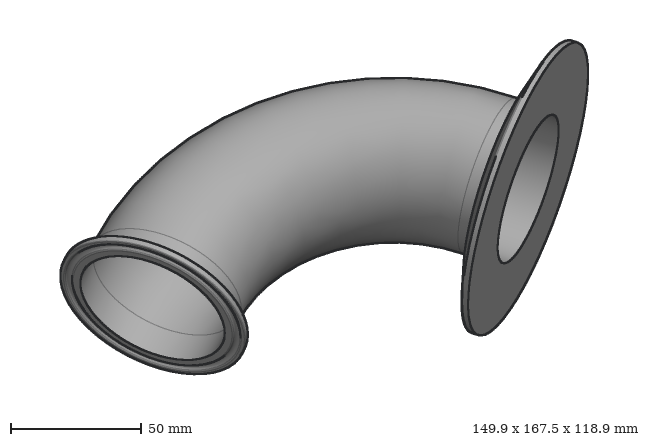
import cadquery as cq
import math

tube_diameter = 63.5
bore_diameter = 60.3
bend_radius = 95.3

small_flange_diameter = 77.3
small_ferrule_length = 12.7

large_flange_diameter = 118.9
large_ferrule_length = 15.9
large_flange_thickness = 7.9

rim_width = 2.8
clamp_angle = math.radians(20)
neck_fillet = 1.3
rim_fillet = 0.5
face_edge_fillet = 0.3

groove_diameter = 70.3
groove_radius = 1.42
groove_lip_radius = 0.7

tube_radius = tube_diameter / 2
bore_radius = bore_diameter / 2
small_flange_radius = small_flange_diameter / 2
large_flange_radius = large_flange_diameter / 2

bend_start_y = small_ferrule_length
large_axis_y = bend_start_y + bend_radius
large_face_x = bend_radius + large_ferrule_length


def circle_edge(radius, height):
    """Selector for circular edges around Z at this height, up to this radius."""
    reach = 0.02
    return cq.selectors.BoxSelector(
        (-radius - reach, -radius - reach, height - reach),
        (radius + reach, radius + reach, height + reach),
        boundingbox=True,
    )


def turned(points):
    """Solid of revolution about Z from (radius, height) points."""
    return cq.Workplane("XZ").polyline(points).close().revolve(360, (0, 0), (0, 1))


def small_ferrule():
    """Ferrule blank with its sealing face on Z = 0 and its neck rising along +Z."""
    cone_top = rim_width + (small_flange_radius - tube_radius) * math.tan(clamp_angle)
    blank = turned([
        (0, 0),
        (small_flange_radius, 0),
        (small_flange_radius, rim_width),
        (tube_radius, cone_top),
        (tube_radius, small_ferrule_length),
        (0, small_ferrule_length),
    ])
    blank = blank.edges(circle_edge(tube_radius, cone_top)).fillet(neck_fillet)
    blank = blank.edges(circle_edge(small_flange_radius, rim_width)).fillet(rim_fillet)
    blank = blank.edges(circle_edge(small_flange_radius, 0)).fillet(face_edge_fillet)
    return blank.cut(gasket_groove())


def gasket_groove():
    """Ring with a round bottom and rounded lips, sunk into the face on Z = 0."""
    middle = groove_diameter / 2
    lip_center_offset = math.sqrt((groove_radius + groove_lip_radius) ** 2 - groove_lip_radius**2)
    tangent_share = groove_radius / (groove_radius + groove_lip_radius)
    tangent_offset = lip_center_offset * tangent_share
    tangent_depth = groove_lip_radius * tangent_share
    lip_half_angle = math.asin(lip_center_offset / (groove_radius + groove_lip_radius)) / 2
    lip_middle_offset = lip_center_offset - groove_lip_radius * math.sin(lip_half_angle)
    lip_middle_depth = groove_lip_radius * (1 - math.cos(lip_half_angle))
    return (
        cq.Workplane("XZ")
        .moveTo(middle - lip_center_offset, 0)
        .threePointArc((middle - lip_middle_offset, lip_middle_depth), (middle - tangent_offset, tangent_depth))
        .threePointArc((middle, groove_radius), (middle + tangent_offset, tangent_depth))
        .threePointArc((middle + lip_middle_offset, lip_middle_depth), (middle + lip_center_offset, 0))
        .close()
        .revolve(360, (0, 0), (0, 1))
    )


def large_ferrule():
    """Ferrule blank with its face on Z = 0 and its neck rising along +Z."""
    cone_run = (large_flange_thickness - rim_width) / math.tan(clamp_angle)
    blank = turned([
        (0, 0),
        (large_flange_radius, 0),
        (large_flange_radius, rim_width),
        (large_flange_radius - cone_run, large_flange_thickness),
        (tube_radius, large_flange_thickness),
        (tube_radius, large_ferrule_length),
        (0, large_ferrule_length),
    ])
    blank = blank.edges(circle_edge(tube_radius, large_flange_thickness)).fillet(neck_fillet)
    return blank.edges(circle_edge(large_flange_radius, rim_width)).fillet(rim_fillet)


def bend(radius):
    """Quarter bend of round section, turning from +Y towards +X."""
    return (
        cq.Workplane("XZ", origin=(0, bend_start_y, 0))
        .circle(radius)
        .revolve(90, (bend_radius, 0), (bend_radius, -1))
    )


def bore():
    """Passage through both ferrules and the bend."""
    inlet = cq.Workplane("XZ").circle(bore_radius).extrude(-small_ferrule_length)
    outlet = (
        cq.Workplane("YZ", origin=(bend_radius, large_axis_y, 0))
        .circle(bore_radius)
        .extrude(large_ferrule_length)
    )
    return inlet.union(bend(bore_radius)).union(outlet)


inlet_ferrule = small_ferrule().rotate((0, 0, 0), (1, 0, 0), -90)
outlet_ferrule = (
    large_ferrule()
    .rotate((0, 0, 0), (0, 1, 0), -90)
    .translate((large_face_x, large_axis_y, 0))
)

result = bend(tube_radius).union(inlet_ferrule).union(outlet_ferrule).cut(bore())